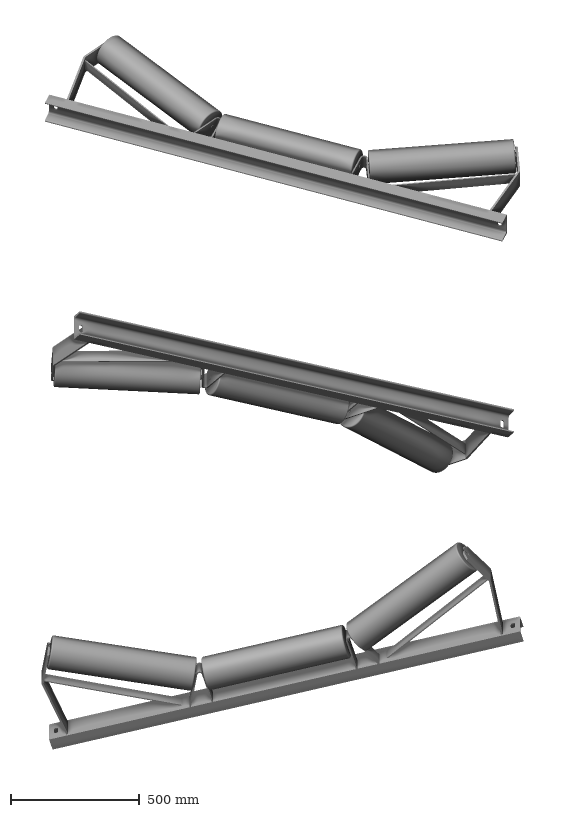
import cadquery as cq
import math


beam_length = 1900.0
beam_height = 100.0
flange_width = 50.0
web_thickness = 6.0
flange_thickness = 8.5
flange_slope = 0.08
root_radius = 8.5
toe_radius = 4.5
slot_width = 18.0
slot_length = 32.0
slot_end_distance = 28.0

roller_diameter = 133.0
roller_length = 567.6
roller_edge_radius = 5.0
shaft_diameter = 18.0
trough_angle = 25.0
forward_tilt = 2.0
centre_roller_y = 117.0
wing_roller_x = 586.0
wing_roller_y = 248.2
wing_roller_z = -10.4

inner_plate_thickness = 6.0
outer_plate_thickness = 8.0
inner_plate_height = 60.0
outer_plate_height = 80.0
plate_gap = 4.0
inner_bend_radius = 9.0
outer_bend_radius = 6.0
outer_plate_z = -2.0
inner_plate_z = (inner_plate_height - beam_height) / 2
centre_roller_z = inner_plate_z
outer_bend_y = 260.0
outer_foot_x = 881.0
outer_tip_distance = 33.0
tip_chamfer = 20.0

brace_thickness = 5.0
brace_height = 45.0
brace_foot_x = 416.0

plate_face = roller_length / 2 + plate_gap
inner_plate_outside = plate_face + inner_plate_thickness
outer_plate_outside = plate_face + outer_plate_thickness
axis_x = math.cos(math.radians(trough_angle))
axis_y = math.sin(math.radians(trough_angle))


def wing_point(along, across):
    """XY point at a distance along and across the right wing roller's axis from its middle."""
    x = wing_roller_x + along * axis_x - across * axis_y
    y = wing_roller_y + along * axis_y + across * axis_x
    return (x, y)


def wing_point_at_y(along, y):
    """XY point at a given Y on the line square to the right wing roller's axis."""
    across = (y - wing_roller_y - along * axis_y) / axis_x
    return wing_point(along, across)


def place_on_wing(body):
    """Move a body built along X about the origin onto the right wing roller's axis."""
    tilted = body.rotate((0, 0, 0), (0, 1, 0), -forward_tilt)
    turned = tilted.rotate((0, 0, 0), (0, 0, 1), trough_angle)
    return turned.translate((wing_roller_x, wing_roller_y, wing_roller_z))


def mirror_pair(body):
    """A right-hand body and its left-hand twin."""
    return [body, body.mirror("YZ")]


def offset_line(start, end, distance):
    """Two points of the line shifted to the left of its direction."""
    length = math.dist(start, end)
    shift_x = -(end[1] - start[1]) / length * distance
    shift_y = (end[0] - start[0]) / length * distance
    return [(p[0] + shift_x, p[1] + shift_y) for p in (start, end)]


def crossing(first, second):
    """Point where two lines, each given by two points, cross."""
    (x1, y1), (x2, y2) = first
    (x3, y3), (x4, y4) = second
    dx1, dy1 = x2 - x1, y2 - y1
    dx2, dy2 = x4 - x3, y4 - y3
    t = ((x3 - x1) * dy2 - (y3 - y1) * dx2) / (dx1 * dy2 - dy1 * dx2)
    return (x1 + t * dx1, y1 + t * dy1)


def upright_plate(outline, height, z):
    """Extrude an XY outline along Z, centred on height z."""
    base = cq.Workplane("XY").workplane(offset=z - height / 2)
    return base.polyline(outline).close().extrude(height)


def round_edge(body, direction, point, radius):
    """Round the edge nearest to a point, among those running in one direction."""
    nearest = cq.selectors.NearestToPointSelector(point)
    return body.edges(direction).edges(nearest).fillet(radius)


web_line = [(0, 0), (beam_length, 0)]


def make_beam():
    half = beam_height / 2
    taper_run = flange_width / 2
    toe = flange_thickness - taper_run * flange_slope
    root = flange_thickness + (taper_run - web_thickness) * flange_slope
    profile = [
        (0, -half), (0, half), (-flange_width, half), (-flange_width, half - toe),
        (-web_thickness, half - root), (-web_thickness, root - half),
        (-flange_width, toe - half), (-flange_width, -half),
    ]
    beam_end = cq.Workplane("YZ").workplane(offset=-beam_length / 2)
    beam = beam_end.polyline(profile).close().extrude(beam_length)
    for side in (1, -1):
        root_edge = (0, -web_thickness, side * (half - root))
        toe_edge = (0, -flange_width, side * (half - toe))
        beam = round_edge(beam, "|X", root_edge, root_radius)
        beam = round_edge(beam, "|X", toe_edge, toe_radius)
    slot_x = beam_length / 2 - slot_end_distance
    slots = (
        cq.Workplane("XZ").pushPoints([(slot_x, 0), (-slot_x, 0)])
        .slot2D(slot_length, slot_width, 90).extrude(web_thickness)
    )
    return beam.cut(slots)


def cylinder_along_x(diameter, length):
    """Cylinder on the X axis, centred on the origin."""
    return cq.Workplane("YZ").workplane(offset=-length / 2).circle(diameter / 2).extrude(length)


def make_shaft():
    return cylinder_along_x(shaft_diameter, 2 * outer_plate_outside)


def make_roller():
    shell = cylinder_along_x(roller_diameter, roller_length)
    return shell.edges().fillet(roller_edge_radius).union(make_shaft())


def make_inner_bracket():
    wing_outer = [wing_point(-plate_face, 0), wing_point(-plate_face, 1)]
    wing_inner = [wing_point(-inner_plate_outside, 0), wing_point(-inner_plate_outside, 1)]
    centre_outer = [(plate_face, 0), (plate_face, 1)]
    centre_inner = [(inner_plate_outside, 0), (inner_plate_outside, 1)]
    outer_apex = crossing(wing_outer, centre_outer)
    inner_apex = crossing(wing_inner, centre_inner)
    outline = [
        (plate_face, 0), outer_apex, crossing(wing_outer, web_line),
        crossing(wing_inner, web_line), inner_apex, (inner_plate_outside, 0),
    ]
    plate = upright_plate(outline, inner_plate_height, inner_plate_z)
    plate = round_edge(plate, "|Z", (*inner_apex, inner_plate_z), inner_bend_radius)
    plate = round_edge(plate, "|Z", (*outer_apex, inner_plate_z), inner_bend_radius + inner_plate_thickness)
    centre_shaft = make_shaft().translate((0, centre_roller_y, centre_roller_z))
    return plate.cut(centre_shaft).cut(place_on_wing(make_shaft()))


outer_bend = wing_point_at_y(outer_plate_outside, outer_bend_y)
leg_outside = [(outer_foot_x, 0), outer_bend]
leg_inside = offset_line(*leg_outside, outer_plate_thickness)
arm_inside = [wing_point(plate_face, 0), wing_point(plate_face, 1)]
inside_bend = crossing(leg_inside, arm_inside)


def make_outer_bracket():
    outline = [
        (outer_foot_x, 0), outer_bend, wing_point(outer_plate_outside, outer_tip_distance),
        wing_point(plate_face, outer_tip_distance), inside_bend, crossing(leg_inside, web_line),
    ]
    plate = upright_plate(outline, outer_plate_height, outer_plate_z)
    plate = round_edge(plate, "|Z", (*inside_bend, outer_plate_z), outer_bend_radius)
    plate = round_edge(plate, "|Z", (*outer_bend, outer_plate_z), outer_bend_radius + outer_plate_thickness)
    tip = wing_point((plate_face + outer_plate_outside) / 2, outer_tip_distance)
    for side in (1, -1):
        corner = (*tip, outer_plate_z + side * outer_plate_height / 2)
        plate = plate.edges(cq.selectors.NearestToPointSelector(corner)).chamfer(tip_chamfer)
    slot_opening = cq.Workplane("XY").box(
        2 * outer_plate_outside, 2 * outer_tip_distance, shaft_diameter, centered=(True, False, True))
    return plate.cut(place_on_wing(make_shaft().union(slot_opening)))


def make_brace():
    middle = [(brace_foot_x, 0), inside_bend]
    upper = offset_line(*middle, brace_thickness / 2)
    lower = offset_line(*middle, -brace_thickness / 2)
    outline = [
        crossing(upper, web_line), crossing(upper, arm_inside), inside_bend,
        crossing(lower, leg_inside), crossing(lower, web_line),
    ]
    bar = upright_plate(outline, brace_height, outer_plate_z)
    return bar.cut(make_outer_bracket())


beam = make_beam()
centre_roller = make_roller().translate((0, centre_roller_y, centre_roller_z))
wing_rollers = mirror_pair(place_on_wing(make_roller()))
inner_brackets = mirror_pair(make_inner_bracket())
outer_brackets = mirror_pair(make_outer_bracket())
braces = mirror_pair(make_brace())

bodies = [beam, centre_roller, *wing_rollers, *inner_brackets, *outer_brackets, *braces]
result = cq.Compound.makeCompound([body.val() for body in bodies])